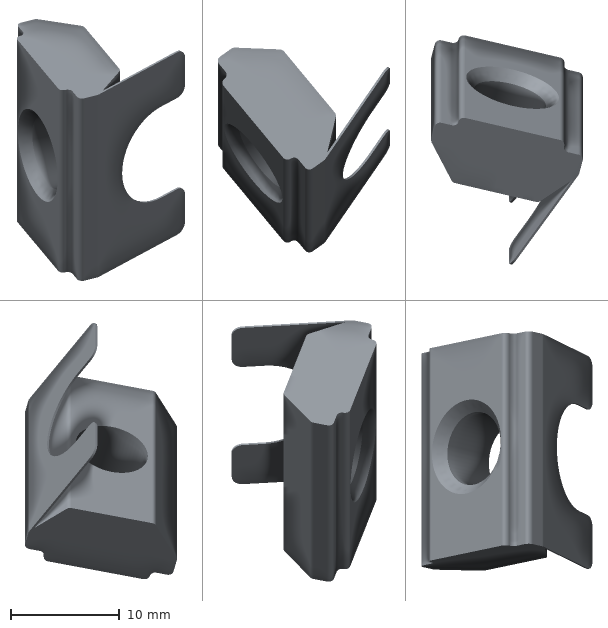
import cadquery as cq
import math

length = 20.0
width = 14.0
height = 6.5
neck_width = 10.0
flank_start = 3.0
flank_angle = 50.0
edge_radius = 0.5

bore_diameter = 6.8
countersink_diameter = 8.8
countersink_angle = 90.0

leaf_tilt = 20.0
leaf_thickness = 0.2
leaf_reach = 13.42
leaf_corner_radius = 1.0
notch_width = 10.0
notch_straight = 3.1

neck_height = 2 * edge_radius
half_width = width / 2
half_neck = neck_width / 2
half_top = half_width - (height - flank_start) / math.tan(math.radians(flank_angle))


rounding_turn = math.radians(90 - flank_angle)
rounding_center_x = half_width - edge_radius
rounding_center_y = flank_start - edge_radius * math.tan(rounding_turn / 2)


def make_body():
    """Extrude half of the T-nut section, all long edges rounded, and mirror it."""
    slope = math.radians(flank_angle)
    top_tangent = half_top - edge_radius * math.tan(slope / 2)
    top_center_y = height - edge_radius
    half_body = (
        cq.Workplane("XY", origin=(0, 0, -length / 2))
        .lineTo(half_neck - edge_radius, 0)
        .radiusArc((half_neck, neck_height / 2), -edge_radius)
        .radiusArc((half_neck + edge_radius, neck_height), edge_radius)
        .lineTo(half_width - edge_radius, neck_height)
        .radiusArc((half_width, neck_height + edge_radius), -edge_radius)
        .lineTo(half_width, rounding_center_y)
        .radiusArc(
            (
                rounding_center_x + edge_radius * math.cos(rounding_turn),
                rounding_center_y + edge_radius * math.sin(rounding_turn),
            ),
            -edge_radius,
        )
        .lineTo(
            top_tangent + edge_radius * math.sin(slope),
            top_center_y + edge_radius * math.cos(slope),
        )
        .radiusArc((top_tangent, height), -edge_radius)
        .lineTo(0, height)
        .close()
        .extrude(length)
    )
    return half_body.union(half_body.mirror("YZ"))


def make_leaf():
    """Make the tilted spring leaf, with a round-ended notch between its two arms."""
    tilt = math.radians(leaf_tilt)
    root_x = rounding_center_x + edge_radius * math.cos(tilt)
    root_y = rounding_center_y + edge_radius * math.sin(tilt)
    leaf_length = (leaf_reach - root_y) / math.cos(tilt)

    leaf = (
        cq.Workplane("XY")
        .box(leaf_thickness, leaf_length, length, centered=(False, False, True))
        .translate((-leaf_thickness, 0, 0))
    )
    notch_end = leaf_length - notch_straight
    notch_radius = notch_width / 2
    notch = (
        cq.Workplane("YZ", origin=(-leaf_thickness, 0, 0))
        .moveTo(leaf_length, -notch_radius)
        .lineTo(notch_end, -notch_radius)
        .threePointArc((notch_end - notch_radius, 0), (notch_end, notch_radius))
        .lineTo(leaf_length, notch_radius)
        .close()
        .extrude(leaf_thickness)
    )
    leaf = leaf.cut(notch)
    leaf = leaf.faces(">Y").edges("|X").fillet(leaf_corner_radius)
    return leaf.rotate((0, 0, 0), (0, 0, 1), leaf_tilt).translate((root_x, root_y, 0))


def drill_bore(body):
    """Drill the countersunk through bore from the front face."""
    front = body.faces("<Y").workplane(origin=(0, 0, 0))
    return front.cskHole(bore_diameter, countersink_diameter, countersink_angle)


result = drill_bore(make_body()).union(make_leaf())